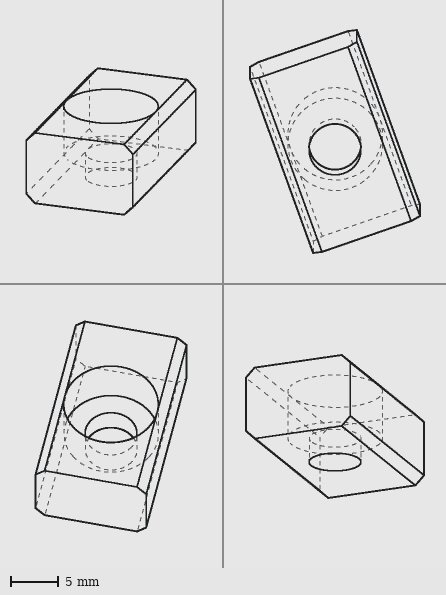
import cadquery as cq

width = 12.0
length = 20.0
height = 8.0
edge_chamfer = 1.0

bore_diameter = 5.5
counterbore_diameter = width - 2 * edge_chamfer
counterbore_depth = 5.3

block = cq.Workplane("XY").box(width, length, height).edges("|Y").chamfer(edge_chamfer)

result = (
    block.faces(">Z")
    .workplane(centerOption="CenterOfBoundBox")
    .cboreHole(bore_diameter, counterbore_diameter, counterbore_depth)
)